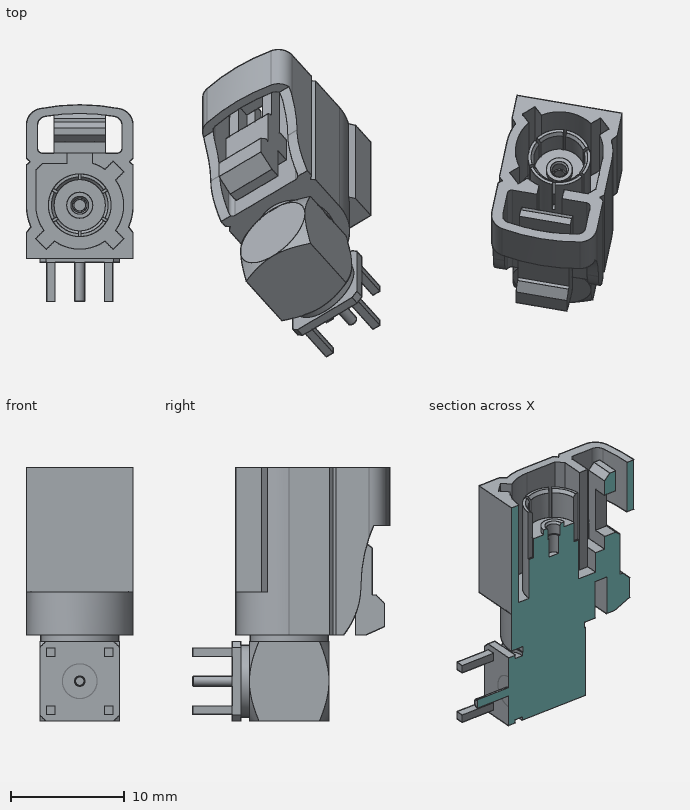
import math

import cadquery as cq


HOUSING_WIDTH = 9.4
HALF_WIDTH = HOUSING_WIDTH / 2
HOUSING_HEIGHT = 14.75
SQUARE_HEIGHT = 10.95
CROWN_Y = 8.84
CROWN_RADIUS = 18.0
CROWN_CORNER_RADIUS = 1.5

ELBOW_SIZE = 7.0
ELBOW_HALF = ELBOW_SIZE / 2
CORNER_BEVEL_ANGLE = 30
UPPER_NECK_DIAMETER = 6.88
UPPER_NECK_LENGTH = 0.54
FLANGE_NECK_DIAMETER = 6.35
FLANGE_NECK_LENGTH = 0.75
FLANGE_THICKNESS = 0.76
FLANGE_CORNER_CHAMFER = 0.52

PIN_END_Y = -8.48
LEG_SIZE = 0.76
LEG_SPACING = 5.08
CENTRE_PIN_DIAMETER = 0.91
CENTRE_PIN_CHAMFER = 0.08
INSULATOR_DIAMETER = 3.05

HOUSING_BOTTOM = ELBOW_HALF + UPPER_NECK_LENGTH
HOUSING_TOP = HOUSING_BOTTOM + HOUSING_HEIGHT
SQUARE_BOTTOM = HOUSING_TOP - SQUARE_HEIGHT
FLANGE_INNER_Y = -ELBOW_HALF - FLANGE_NECK_LENGTH
FLANGE_OUTER_Y = FLANGE_INNER_Y - FLANGE_THICKNESS

RIB_NOTCH_Y = 3.83
RIB_NOTCH_DEPTH = 0.33
RIB_NOTCH_HALF_HEIGHT = 0.3
CORNER_NOTCH_INNER_Y = -1.9
CORNER_NOTCH_OUTER_Y = -2.42

SIDE_WALL = 1.0
WINDOW_HALF_WIDTH = HALF_WIDTH - SIDE_WALL
WINDOW_FRONT_Y = 4.59
WINDOW_WALL = 0.77
WINDOW_REAR_RADIUS = 0.75
WINDOW_FRONT_RADIUS = 0.4
CROWN_HEIGHT = 5.12
RELIEF_TOP_Y = 7.44
RELIEF_MIDDLE_Y = 6.31
RELIEF_MIDDLE_DEPTH = 10.4
RELIEF_BOTTOM_Y = 4.77

CAVITY_RADIUS = 3.86
CAVITY_FLOOR_THICKNESS = 0.95
CAVITY_DEPTH = SQUARE_HEIGHT - CAVITY_FLOOR_THICKNESS
SQUARE_CORNER_Y = 3.69
SQUARE_CORNER_CHAMFER = 0.6
KEYWAY_WIDTH = 1.33
KEYWAY_REACH = 4.82
KEYWAY_ANGLES = (45, 225, 315)
LATCH_SLOT_WIDTH = 2.24

RING_OUTER_DIAMETER = 5.51
RING_BORE_DIAMETER = 4.5
RING_TOP_DEPTH = 1.25
RING_FLOOR_DEPTH = 4.06
RING_MOUTH_DIAMETER = 4.98
RING_MOUTH_DEPTH = 0.3
RING_SLOT_COUNT = 6
RING_SLOT_WIDTH = 0.25
RING_SLOT_END_DEPTH = 6.0

POST_DIAMETER = 2.29
POST_HEIGHT = 0.5
FUNNEL_DIAMETER = 1.57
FUNNEL_DEPTH = 0.2
SOCKET_DIAMETER = 1.27
SOCKET_DEPTH = 1.2
SOCKET_BORE_DIAMETER = 1.02
SOCKET_BORE_DEPTH = 3.0

LATCH_WIDTH = 4.56
LATCH_TOP_DEPTH = 0.4
LATCH_FRONT_Y = 5.58
LATCH_FOOT_FRONT_Y = 5.82
LATCH_TOP_FRONT_Y = 6.16
LATCH_TOP_REAR_Y = 6.81
LATCH_BODY_Y = 7.32
LATCH_HOOK_Y = 8.38
LATCH_FOOT_REAR_Y = 6.72
LATCH_TOP_SLOPE = 0.6
LATCH_SHOULDER_DEPTH = 6.7
LATCH_SHOULDER_DROP = 0.4
HOOK_TOP_DEPTH = 11.2
HOOK_BEVEL = 0.76
HOOK_LOWER_DEPTH = 14.0
WEB_DEPTH = 8.0
WEB_HEIGHT = 3.0
LATCH_OPENING_WIDTH = 2.6
LATCH_OPENING_TOP_DEPTH = 2.5


def depth_to_z(depth):
    """Height of a level given by its depth below the housing top."""
    return HOUSING_TOP - depth


def block(x_range, y_range, z_range):
    """Axis-aligned box between pairs of limits."""
    lows, highs = zip(x_range, y_range, z_range)
    sizes = [high - low for low, high in zip(lows, highs)]
    return cq.Workplane("XY").box(*sizes, centered=False).translate(lows)


def centred_block(width, y_range, z_range):
    """Box that is symmetric about the YZ plane."""
    return block((-width / 2, width / 2), y_range, z_range)


def disc(diameter, bottom, top):
    """Upright cylinder on the mating axis."""
    return cq.Workplane("XY").workplane(offset=bottom).circle(diameter / 2).extrude(top - bottom)


def rod(diameter, y_start, y_end):
    """Round bar on the solder axis, running toward -Y."""
    return cq.Workplane("XZ", origin=(0, y_start, 0)).circle(diameter / 2).extrude(y_start - y_end)


def funnel(top_diameter, bottom_diameter, depth, top):
    """Cone frustum on the mating axis, widest at its top."""
    base = cq.Vector(0, 0, top - depth)
    return cq.Workplane(cq.Solid.makeCone(bottom_diameter / 2, top_diameter / 2, depth, base))


def crowned_block(half_width, front_y, crown_y, crown_radius, corner_radius):
    """Housing-height block whose rear face is a shallow arc with rounded corners."""
    body = block((-half_width, half_width), (front_y, crown_y), (HOUSING_BOTTOM, HOUSING_TOP))
    crown = disc(2 * crown_radius, HOUSING_BOTTOM, HOUSING_TOP).translate((0, crown_y - crown_radius, 0))
    middle_y = (front_y + crown_y) / 2
    rear_edges = cq.selectors.BoxSelector(
        (-HOUSING_WIDTH, middle_y, HOUSING_BOTTOM), (HOUSING_WIDTH, HOUSING_WIDTH, HOUSING_TOP)
    )
    return body.intersect(crown).edges("|Z").edges(rear_edges).fillet(corner_radius)


def rear_relief():
    """S-curved cut that narrows the rear of the housing below its crown band."""
    top = depth_to_z(CROWN_HEIGHT)
    middle = depth_to_z(RELIEF_MIDDLE_DEPTH)
    upper_run = RELIEF_TOP_Y - RELIEF_MIDDLE_Y
    upper_rise = top - middle
    lower_run = RELIEF_MIDDLE_Y - RELIEF_BOTTOM_Y
    lower_rise = middle - HOUSING_BOTTOM
    upper_radius = (upper_run**2 + upper_rise**2) / (2 * upper_run)
    lower_radius = (lower_run**2 + lower_rise**2) / (2 * lower_run)
    return (
        cq.Workplane("YZ", origin=(-HALF_WIDTH, 0, 0))
        .moveTo(CROWN_Y, HOUSING_BOTTOM)
        .lineTo(RELIEF_BOTTOM_Y, HOUSING_BOTTOM)
        .radiusArc((RELIEF_MIDDLE_Y, middle), -lower_radius)
        .radiusArc((RELIEF_TOP_Y, top), upper_radius)
        .lineTo(CROWN_Y, top)
        .close()
        .extrude(HOUSING_WIDTH)
    )


def side_notches():
    """Side cuts: a V groove beside the latch wall and a curved recess behind each front corner."""
    corner_notch_x = math.sqrt(HALF_WIDTH**2 - CORNER_NOTCH_INNER_Y**2)
    rib_notch = [
        (HALF_WIDTH, RIB_NOTCH_Y + RIB_NOTCH_HALF_HEIGHT),
        (HALF_WIDTH - RIB_NOTCH_DEPTH, RIB_NOTCH_Y),
        (HALF_WIDTH, RIB_NOTCH_Y - RIB_NOTCH_HALF_HEIGHT),
    ]
    base = cq.Workplane("XY", origin=(0, 0, HOUSING_BOTTOM))
    right = base.polyline(rib_notch).close().extrude(HOUSING_HEIGHT)
    round_side = (
        base.moveTo(HALF_WIDTH, 0)
        .radiusArc((corner_notch_x, CORNER_NOTCH_INNER_Y), HALF_WIDTH)
        .lineTo(HALF_WIDTH, CORNER_NOTCH_OUTER_Y)
        .close()
        .extrude(HOUSING_HEIGHT)
    )
    right = right.union(round_side)
    return right.union(right.mirror("YZ"))


def housing_shell():
    """Outer body: crowned rear, round lower front and square upper front."""
    rear = crowned_block(HALF_WIDTH, 0, CROWN_Y, CROWN_RADIUS, CROWN_CORNER_RADIUS)
    round_front = disc(HOUSING_WIDTH, HOUSING_BOTTOM, HOUSING_TOP)
    square_front = centred_block(HOUSING_WIDTH, (-HALF_WIDTH, 0), (SQUARE_BOTTOM, HOUSING_TOP))
    window = crowned_block(
        WINDOW_HALF_WIDTH,
        WINDOW_FRONT_Y,
        CROWN_Y - WINDOW_WALL,
        CROWN_RADIUS - WINDOW_WALL,
        WINDOW_REAR_RADIUS,
    )
    window = window.edges("|Z and <Y").fillet(WINDOW_FRONT_RADIUS)
    shell = rear.union(round_front).union(square_front)
    return shell.cut(window).cut(rear_relief()).cut(side_notches())


def mating_cavity():
    """Round cavity with one squared corner, three diagonal keyways and a slot toward the latch."""
    levels = (depth_to_z(CAVITY_DEPTH), HOUSING_TOP)
    cavity = disc(2 * CAVITY_RADIUS, *levels)
    corner = block((-CAVITY_RADIUS, 0), (0, SQUARE_CORNER_Y), levels)
    cavity = cavity.union(corner.edges("|Z and <X and >Y").chamfer(SQUARE_CORNER_CHAMFER))
    for angle in KEYWAY_ANGLES:
        keyway = block((0, KEYWAY_REACH), (-KEYWAY_WIDTH / 2, KEYWAY_WIDTH / 2), levels)
        cavity = cavity.union(keyway.rotate((0, 0, 0), (0, 0, 1), angle))
    return cavity.union(centred_block(LATCH_SLOT_WIDTH, (0, WINDOW_FRONT_Y), levels))


def outer_contact():
    """Slotted contact ring standing on the cavity floor."""
    top = depth_to_z(RING_TOP_DEPTH)
    ring = disc(RING_OUTER_DIAMETER, depth_to_z(CAVITY_DEPTH), top)
    ring = ring.cut(disc(RING_BORE_DIAMETER, depth_to_z(RING_FLOOR_DEPTH), top))
    ring = ring.cut(funnel(RING_MOUTH_DIAMETER, RING_BORE_DIAMETER, RING_MOUTH_DEPTH, top))
    slot = centred_block(RING_SLOT_WIDTH, (0, RING_OUTER_DIAMETER), (depth_to_z(RING_SLOT_END_DEPTH), top))
    slot = slot.cut(disc(RING_BORE_DIAMETER, depth_to_z(RING_SLOT_END_DEPTH), top))
    for index in range(RING_SLOT_COUNT):
        ring = ring.cut(slot.rotate((0, 0, 0), (0, 0, 1), index * 360 / RING_SLOT_COUNT))
    return ring


def centre_contact():
    """Post standing in the ring, and the funnelled, stepped socket to cut from it."""
    floor = depth_to_z(RING_FLOOR_DEPTH)
    top = floor + POST_HEIGHT
    post = disc(POST_DIAMETER, floor, top)
    socket = funnel(FUNNEL_DIAMETER, SOCKET_DIAMETER, FUNNEL_DEPTH, top)
    socket = socket.union(disc(SOCKET_DIAMETER, top - SOCKET_DEPTH, top))
    socket = socket.union(disc(SOCKET_BORE_DIAMETER, top - SOCKET_BORE_DEPTH, top))
    return post, socket


def latch():
    """Rear latch arm with a hook at its foot, carried by a web from the window wall."""
    outline = [
        (LATCH_FOOT_FRONT_Y, HOUSING_HEIGHT),
        (LATCH_FOOT_REAR_Y, HOUSING_HEIGHT),
        (LATCH_HOOK_Y, HOOK_LOWER_DEPTH),
        (LATCH_HOOK_Y, HOOK_TOP_DEPTH + HOOK_BEVEL),
        (LATCH_HOOK_Y - HOOK_BEVEL, HOOK_TOP_DEPTH),
        (LATCH_BODY_Y, HOOK_TOP_DEPTH),
        (LATCH_BODY_Y, LATCH_SHOULDER_DEPTH + LATCH_SHOULDER_DROP),
        (LATCH_TOP_REAR_Y, LATCH_SHOULDER_DEPTH),
        (LATCH_TOP_REAR_Y, LATCH_TOP_DEPTH),
        (LATCH_TOP_FRONT_Y, LATCH_TOP_DEPTH),
        (LATCH_FRONT_Y, LATCH_TOP_DEPTH + LATCH_TOP_SLOPE),
        (LATCH_FRONT_Y, WEB_DEPTH + WEB_HEIGHT),
        (LATCH_FOOT_FRONT_Y, WEB_DEPTH + WEB_HEIGHT),
    ]
    points = [(y, depth_to_z(depth)) for y, depth in outline]
    arm = cq.Workplane("YZ", origin=(-LATCH_WIDTH / 2, 0, 0)).polyline(points).close().extrude(LATCH_WIDTH)
    web_levels = (depth_to_z(WEB_DEPTH + WEB_HEIGHT), depth_to_z(WEB_DEPTH))
    web = centred_block(LATCH_WIDTH, (WINDOW_FRONT_Y, LATCH_TOP_REAR_Y), web_levels)
    opening_levels = (depth_to_z(LATCH_SHOULDER_DEPTH), depth_to_z(LATCH_OPENING_TOP_DEPTH))
    opening = centred_block(LATCH_OPENING_WIDTH, (LATCH_FRONT_Y, LATCH_TOP_REAR_Y), opening_levels)
    return arm.union(web).cut(opening)


def elbow():
    """Square block with its corners turned down at both Y ends, plus the neck under the housing."""
    cube = cq.Workplane("XY").box(ELBOW_SIZE, ELBOW_SIZE, ELBOW_SIZE)
    corner_radius = ELBOW_HALF * math.sqrt(2)
    bevel_width = corner_radius - ELBOW_HALF
    bevel_length = bevel_width * math.tan(math.radians(CORNER_BEVEL_ANGLE))
    turned = rod(2 * corner_radius, ELBOW_HALF, -ELBOW_HALF).edges().chamfer(bevel_length, bevel_width)
    neck = disc(UPPER_NECK_DIAMETER, 0, HOUSING_BOTTOM)
    return cube.intersect(turned).union(neck)


def solder_flange():
    """Neck, square flange and four legs, with a round seat for the insulator."""
    neck = rod(FLANGE_NECK_DIAMETER, 0, FLANGE_INNER_Y)
    plate = centred_block(ELBOW_SIZE, (FLANGE_OUTER_Y, FLANGE_INNER_Y), (-ELBOW_HALF, ELBOW_HALF))
    plate = plate.edges("|Y").chamfer(FLANGE_CORNER_CHAMFER)
    legs = (
        cq.Workplane("XZ", origin=(0, FLANGE_OUTER_Y, 0))
        .rarray(LEG_SPACING, LEG_SPACING, 2, 2)
        .rect(LEG_SIZE, LEG_SIZE)
        .extrude(FLANGE_OUTER_Y - PIN_END_Y)
    )
    seat = rod(INSULATOR_DIAMETER, FLANGE_INNER_Y, FLANGE_OUTER_Y)
    return neck.union(plate).union(legs).cut(seat)


def insulator_and_pin():
    """Insulator flush with the flange face and the centre solder pin."""
    insulator = rod(INSULATOR_DIAMETER, FLANGE_INNER_Y, FLANGE_OUTER_Y)
    pin = rod(CENTRE_PIN_DIAMETER, FLANGE_INNER_Y, PIN_END_Y).faces("<Y").chamfer(CENTRE_PIN_CHAMFER)
    return insulator.union(pin)


post, socket = centre_contact()
result = housing_shell().cut(mating_cavity()).union(outer_contact()).union(post).cut(socket)
result = result.union(latch()).union(elbow()).union(solder_flange())
result = result.union(insulator_and_pin(), clean=False)